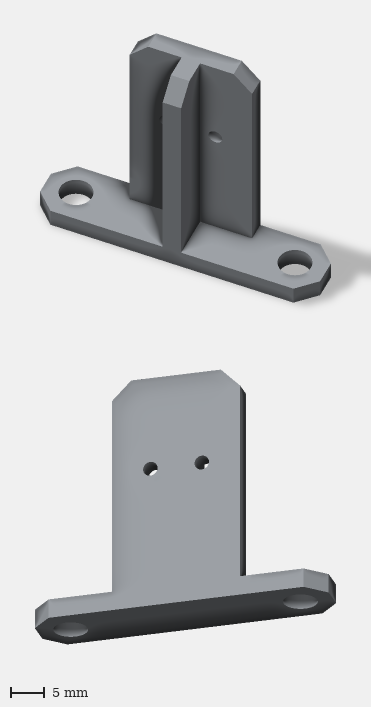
import cadquery as cq

length = 45.7
depth = 10.0
height = 37.25

thickness = 3.0
chamfer = 3.0

upright_width = 20.0
mount_hole_diameter = 5.2
mount_hole_spacing = 35.75
pin_hole_diameter = 2.25
pin_hole_spacing = 8.0
pin_hole_height = 22.4

back_y = depth / 2


def make_base():
    """Flat foot with chamfered corners and a mounting hole at each end."""
    foot = cq.Workplane("XY").rect(length, depth).extrude(thickness)
    foot = foot.edges("|Z").chamfer(chamfer)
    return (
        foot.faces(">Z").workplane(origin=(0, 0, 0))
        .pushPoints([(-mount_hole_spacing / 2, 0), (mount_hole_spacing / 2, 0)])
        .hole(mount_hole_diameter)
    )


def make_upright():
    """Plate along the back edge with chamfered top corners and two pin holes."""
    plate = cq.Workplane("XY").box(upright_width, thickness, height, centered=(True, True, False))
    plate = plate.edges("|Y and >Z").chamfer(chamfer)
    pins = (
        cq.Workplane("XZ")
        .pushPoints([(side * pin_hole_spacing / 2, pin_hole_height) for side in (-1, 1)])
        .circle(pin_hole_diameter / 2)
        .extrude(thickness, both=True)
    )
    return plate.cut(pins).translate((0, back_y - thickness / 2, 0))


def make_rib():
    """Central rib across the full depth with a chamfered front top edge."""
    rib = cq.Workplane("XY").box(thickness, depth, height, centered=(True, True, False))
    return rib.edges("|X and >Z and <Y").chamfer(chamfer)


result = make_base().union(make_upright()).union(make_rib())